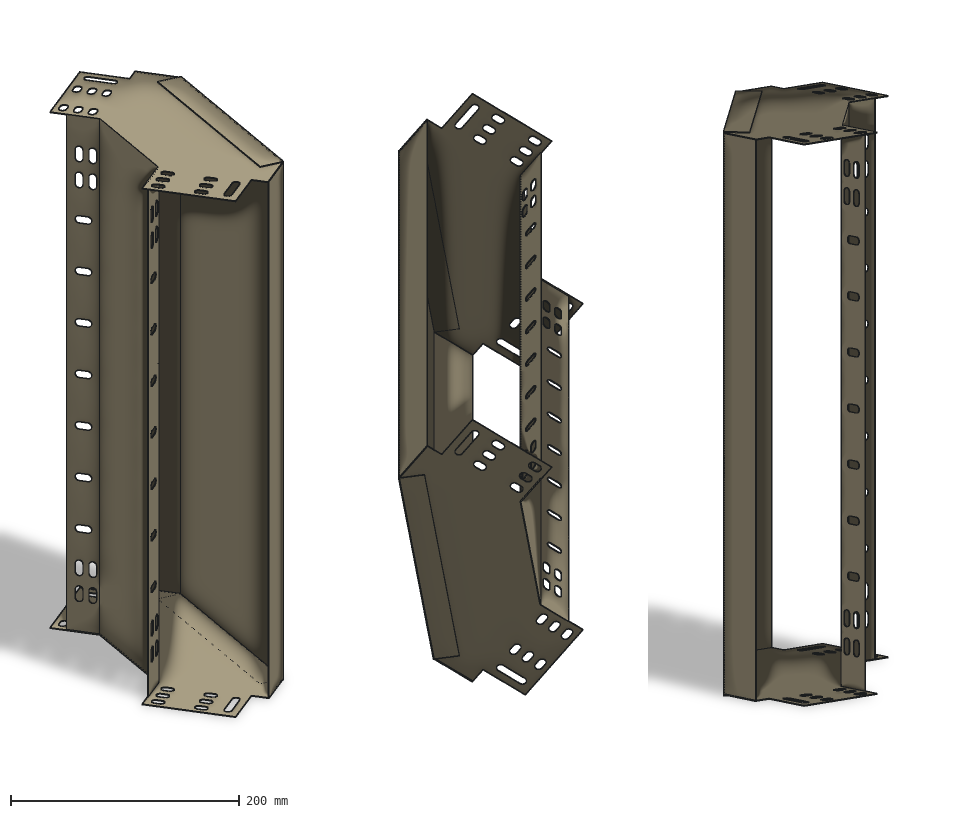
import cadquery as cq
import math


side = 226.5
height = 503.0
sheet = 0.9

tab_length = 46.0
tab_width = 86.0
tab_start = 124.5
shoulder = 42.5

lip_width = 23.0

flange_end_gap = 15.0

tab_slot_width = 7.0
tab_slot_length = 12.0
tab_slot_first = 8.5
tab_slot_pitch = 13.5
tab_slot_columns = 3
tab_slot_rows = (12.0, 52.0)
long_slot_length = 30.5
long_slot_width = 7.0
long_slot_along = 22.5
long_slot_across = 75.5

flange_slot_width = 7.0
flange_slot_length = 15.0
level_slot_along = 30.5
level_slot_span = 300.0
level_slot_count = 7
upright_slot_columns = (26.5, 39.0)
upright_slot_levels = (188.0, 213.5)

mid_height = height / 2
level_slot_pitch = level_slot_span / (level_slot_count - 1)
tab_end = tab_start + tab_width
shoulder_end = tab_length + shoulder
plate_bottom = sheet
plate_top = height - sheet
inner_bottom = plate_bottom + sheet
inner_top = plate_top - sheet
bend_shift = sheet * math.tan(math.pi / 8)
mirror_normal = cq.Vector(1, -1, 0)


def with_mirror_image(shape):
    """Join a shape to its reflection in the plane X = Y."""
    return shape.union(shape.mirror(mirror_normal))


def prism(points, bottom, top):
    """Upright prism on an outline, between two heights."""
    return cq.Workplane("XY").workplane(offset=bottom).polyline(points).close().extrude(top - bottom)


def swapped(points):
    """Reflect points in X = Y, in reverse order so that an outline runs on."""
    return [(y, x) for x, y in reversed(points)]


def bent_strip(outer, inner):
    """Outline of a bent sheet, from the halves of its two faces on one side of X = Y."""
    outer_face = outer + swapped(outer)
    inner_face = inner + swapped(inner)
    return outer_face + inner_face[::-1]


def end_plate(bottom):
    """Plate with two tabs, lying inside the cover."""
    inside = side - sheet
    half = [
        (tab_length, tab_start),
        (0, tab_start),
        (0, tab_end),
        (tab_length, tab_end),
        (tab_length, inside),
        (shoulder_end - bend_shift, inside),
    ]
    return prism(half + swapped(half), bottom, bottom + sheet)


def inner_wall():
    """Diagonal wall with a flange along each tab."""
    outer = [(flange_end_gap, tab_start), (tab_length, tab_start)]
    inner = [
        (flange_end_gap, tab_start + sheet),
        (tab_length + bend_shift, tab_start + sheet),
    ]
    return prism(bent_strip(outer, inner), inner_bottom, inner_top)


def tab_slots():
    """Cutters for the slots of one tab, through both end plates."""
    small_slots = [
        (tab_slot_first + column * tab_slot_pitch, tab_start + row)
        for column in range(tab_slot_columns)
        for row in tab_slot_rows
    ]
    small = cq.Workplane("XY").pushPoints(small_slots).slot2D(tab_slot_length, tab_slot_width, 90)
    long_center = (long_slot_along, tab_start + long_slot_across)
    long = cq.Workplane("XY").pushPoints([long_center]).slot2D(long_slot_length, long_slot_width)
    return small.extrude(height).union(long.extrude(height))


def flange_slots():
    """Cutters for the slots of the flange that faces -Y."""
    levels = [
        (level_slot_along, mid_height - level_slot_span / 2 + i * level_slot_pitch)
        for i in range(level_slot_count)
    ]
    uprights = [
        (column, mid_height + end * level)
        for column in upright_slot_columns
        for level in upright_slot_levels
        for end in (-1, 1)
    ]
    face = cq.Workplane("XZ", origin=(0, tab_start + sheet, 0))
    level = face.pushPoints(levels).slot2D(flange_slot_length, flange_slot_width).extrude(sheet)
    upright = face.pushPoints(uprights).slot2D(flange_slot_length, flange_slot_width, 90).extrude(sheet)
    return level.union(upright)


def make_tray():
    """Two end plates joined by the inner wall, with all the slots."""
    tray = end_plate(plate_bottom).union(end_plate(inner_top)).union(inner_wall())
    return tray.cut(with_mirror_image(tab_slots())).cut(with_mirror_image(flange_slots()))


def lip(bottom):
    """Rectangular lip folded in from the cover's diagonal panel."""
    inset = lip_width / math.sqrt(2)
    fold = [(shoulder_end, side), (shoulder_end - inset, side - inset)]
    return prism(fold + swapped(fold), bottom, bottom + sheet)


def make_cover():
    """Three-panel cover around the plates, with a lip over each of them."""
    inside = side - sheet
    outer = [(tab_length, side), (shoulder_end, side)]
    inner = [(tab_length, inside), (shoulder_end - bend_shift, inside)]
    panels = prism(bent_strip(outer, inner), plate_bottom, plate_top)
    return panels.union(lip(0)).union(lip(plate_top))


tray = make_tray()
cover = make_cover()
result = cq.Compound.makeCompound([tray.solids().val(), cover.solids().val()])